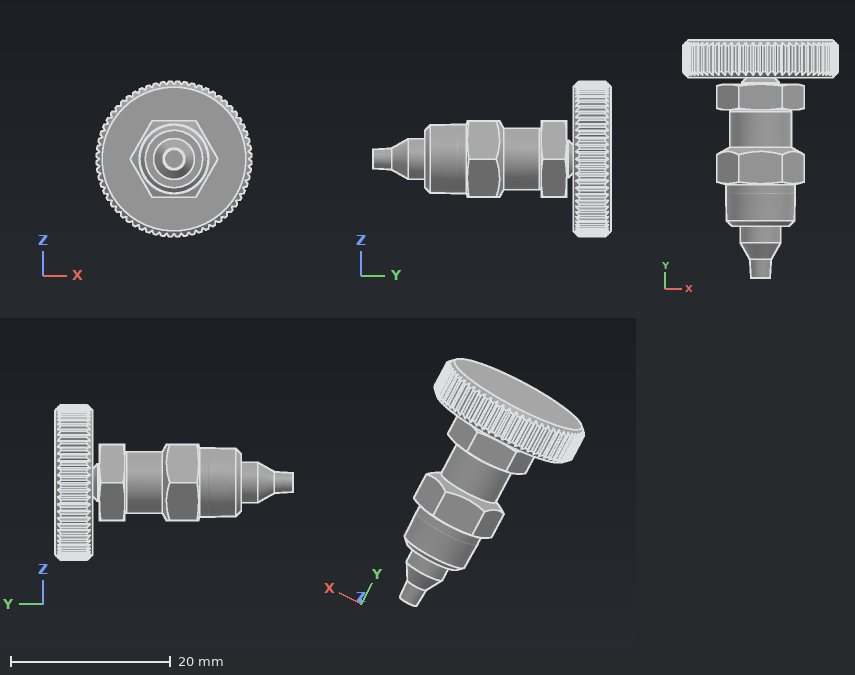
import cadquery as cq
import math

total_length = 29.82
knob_back_y = total_length / 2

knob_diameter = 19.47
knob_width = 4.77
knob_chamfer = 0.75
tooth_count = 64
groove_depth = 0.4
groove_width = 0.57

neck_diameter = 4.75
neck_cone_length = 0.6

hex_flats = 9.5
hex_corner_radius = hex_flats / math.sqrt(3)
lock_nut_start = 5.58
lock_nut_end = 8.77
main_hex_start = 13.45
main_hex_end = 18.1
shallow_angle = 15
steep_angle = 30
envelope_clearance = 0.3

body_diameter = 7.75
body_chamfer = 0.2

collar_diameter = 8.65
collar_end = 19.17
nose_start = 19.3
nose_back_diameter = 8.7
nose_front_diameter = 8.53
nose_end = 23.32
nose_chamfer = 0.7

pin_diameter = 5.1
pin_end = 25.38
pin_cone_end = 27.45
tip_base_diameter = 2.7
tip_diameter = 2.42


def revolve_profile(stations):
    """Solid of revolution about Y through (distance from the back face, radius) pairs."""
    first_y = knob_back_y - stations[0][0]
    last_y = knob_back_y - stations[-1][0]
    outline = [(0, first_y)]
    outline += [(radius, knob_back_y - distance) for distance, radius in stations]
    outline += [(0, last_y)]
    return cq.Workplane("XY").polyline(outline).close().revolve(360, (0, 0, 0), (0, 1, 0))


def make_knob():
    """Chamfered disc with V grooves cut along its rim."""
    outer_radius = knob_diameter / 2
    face_radius = outer_radius - knob_chamfer
    disc = revolve_profile([
        (0, face_radius),
        (knob_chamfer, outer_radius),
        (knob_width - knob_chamfer, outer_radius),
        (knob_width, face_radius),
    ])
    groove = (
        cq.Workplane("XZ", origin=(0, knob_back_y, 0))
        .polyline([
            (0, outer_radius - groove_depth),
            (groove_width, outer_radius + groove_depth),
            (-groove_width, outer_radius + groove_depth),
        ])
        .close()
        .extrude(knob_width)
    )
    pitch_angle = 360 / tooth_count
    grooves = [
        groove.rotate((0, 0, 0), (0, 1, 0), tooth * pitch_angle).val()
        for tooth in range(tooth_count)
    ]
    return disc.cut(cq.Workplane(cq.Compound.makeCompound(grooves)))


def make_hex(start, end, back_radius, back_angle, front_radius, front_angle):
    """Hexagonal prism with corners along X, coned from the given face radius at each end."""
    prism = (
        cq.Workplane("XZ", origin=(0, knob_back_y - start, 0))
        .polygon(6, 2 * hex_corner_radius)
        .extrude(end - start)
    )
    envelope_radius = hex_corner_radius + envelope_clearance
    back_drop = (envelope_radius - back_radius) * math.tan(math.radians(back_angle))
    front_drop = (envelope_radius - front_radius) * math.tan(math.radians(front_angle))
    envelope = revolve_profile([
        (start, back_radius),
        (start + back_drop, envelope_radius),
        (end - front_drop, envelope_radius),
        (end, front_radius),
    ])
    return prism.intersect(envelope)


def make_neck():
    """Short cone and land joining the knob to the lock nut."""
    neck_radius = neck_diameter / 2
    return revolve_profile([
        (knob_width, neck_radius - neck_cone_length),
        (knob_width + neck_cone_length, neck_radius),
        (lock_nut_start, neck_radius),
    ])


def make_body():
    """Cylinder between the hexagons, chamfered where it meets the lock nut."""
    body_radius = body_diameter / 2
    return revolve_profile([
        (lock_nut_end, body_radius - body_chamfer),
        (lock_nut_end + body_chamfer, body_radius),
        (main_hex_start, body_radius),
    ])


def make_nose():
    """Collar, small flare, slightly tapered nose with a front chamfer, and stepped plunger pin."""
    collar_radius = collar_diameter / 2
    nose_radius = nose_front_diameter / 2
    pin_radius = pin_diameter / 2
    return revolve_profile([
        (main_hex_end, collar_radius),
        (collar_end, collar_radius),
        (nose_start, nose_back_diameter / 2),
        (nose_end - nose_chamfer, nose_radius),
        (nose_end, nose_radius - nose_chamfer),
        (nose_end, pin_radius),
        (pin_end, pin_radius),
        (pin_cone_end, tip_base_diameter / 2),
        (total_length, tip_diameter / 2),
    ])


flat_radius = hex_flats / 2
lock_nut = make_hex(lock_nut_start, lock_nut_end, flat_radius, shallow_angle, flat_radius, shallow_angle)
main_hex = make_hex(
    main_hex_start, main_hex_end, body_diameter / 2, steep_angle, collar_diameter / 2, shallow_angle
)

result = (
    make_knob()
    .union(make_neck())
    .union(lock_nut)
    .union(make_body())
    .union(main_hex)
    .union(make_nose())
)